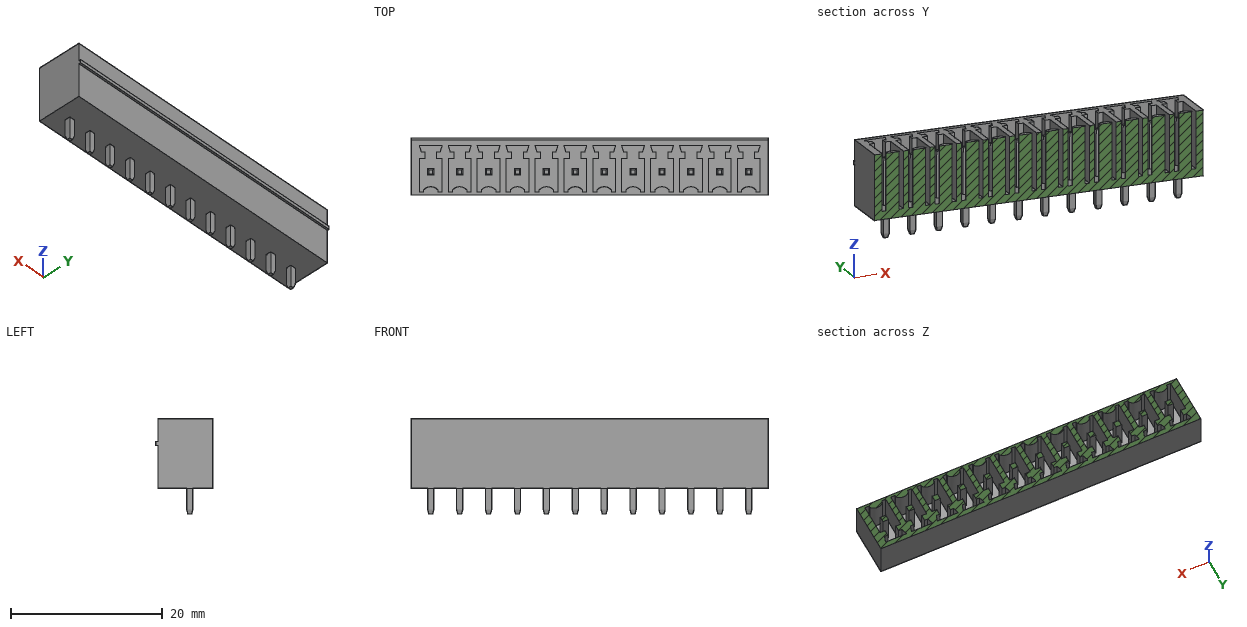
import cadquery as cq


POSITIONS = 12
PITCH = 3.81
END_MARGIN = 2.6

HOUSING_LENGTH = (POSITIONS - 1) * PITCH + 2 * END_MARGIN
HOUSING_DEPTH = 7.25
HOUSING_HEIGHT = 9.2
PIN_TO_FRONT = 3.05
HOUSING_FRONT = -PIN_TO_FRONT
HOUSING_BACK = HOUSING_FRONT + HOUSING_DEPTH

RAIL_DEPTH = 0.3
RAIL_HEIGHT = 0.55
RAIL_DROP = 3.0
RAIL_TOP = HOUSING_HEIGHT - RAIL_DROP

FLOOR_THICKNESS = 1.2
FRONT_WALL = 0.4
BACK_WALL = 0.75
PLUG_BAY_DEPTH = 4.4
NECK_LENGTH = 0.9
CAVITY_WIDTH = 3.0
CAVITY_FRONT = HOUSING_FRONT + FRONT_WALL
CAVITY_BACK = HOUSING_BACK - BACK_WALL
NECK_WIDTH = 1.55
NECK_FRONT = CAVITY_FRONT + PLUG_BAY_DEPTH
NECK_BACK = NECK_FRONT + NECK_LENGTH
KEY_FRONT_WIDTH = 2.5

RIB_WIDTH = 1.9
RIB_SIDE_HEIGHT = 0.25
RIB_HEIGHT = 0.7

PIN_SIZE = 0.85
PIN_TIP_SIZE = 0.5
PIN_TAPER_LENGTH = 0.6
PIN_PROTRUSION = 3.4
PIN_RECESS = 1.5
PIN_BOTTOM = -PIN_PROTRUSION
PIN_TOP = HOUSING_HEIGHT - PIN_RECESS


def block(x_start, x_end, y_start, y_end, z_start, z_end):
    size = (x_end - x_start, y_end - y_start, z_end - z_start)
    return cq.Workplane("XY").box(*size, centered=False).translate((x_start, y_start, z_start))


def make_housing():
    left = -END_MARGIN
    right = left + HOUSING_LENGTH
    body = block(left, right, HOUSING_FRONT, HOUSING_BACK, 0, HOUSING_HEIGHT)
    rail = block(left, right, HOUSING_BACK, HOUSING_BACK + RAIL_DEPTH, RAIL_TOP - RAIL_HEIGHT, RAIL_TOP)
    return body.union(rail)


def make_cavity():
    """Cavity volume around a pin axis at the origin."""
    half_cavity = CAVITY_WIDTH / 2
    half_neck = NECK_WIDTH / 2
    half_key = KEY_FRONT_WIDTH / 2
    half_rib = RIB_WIDTH / 2
    rib_shoulder = CAVITY_FRONT + RIB_SIDE_HEIGHT
    return (
        cq.Workplane("XY")
        .workplane(offset=FLOOR_THICKNESS)
        .moveTo(-half_rib, CAVITY_FRONT)
        .lineTo(-half_cavity, CAVITY_FRONT)
        .lineTo(-half_cavity, NECK_FRONT)
        .lineTo(-half_neck, NECK_FRONT)
        .lineTo(-half_neck, NECK_BACK)
        .lineTo(-half_key, NECK_BACK)
        .lineTo(-half_cavity, CAVITY_BACK)
        .lineTo(half_cavity, CAVITY_BACK)
        .lineTo(half_key, NECK_BACK)
        .lineTo(half_neck, NECK_BACK)
        .lineTo(half_neck, NECK_FRONT)
        .lineTo(half_cavity, NECK_FRONT)
        .lineTo(half_cavity, CAVITY_FRONT)
        .lineTo(half_rib, CAVITY_FRONT)
        .lineTo(half_rib, rib_shoulder)
        .threePointArc((0, CAVITY_FRONT + RIB_HEIGHT), (-half_rib, rib_shoulder))
        .close()
        .extrude(HOUSING_HEIGHT - FLOOR_THICKNESS)
    )


def make_pin():
    """Square pin on the origin axis, tapered at both ends."""
    shank_bottom = PIN_BOTTOM + PIN_TAPER_LENGTH
    shank_top = PIN_TOP - PIN_TAPER_LENGTH
    shank = cq.Workplane("XY").workplane(offset=shank_bottom).rect(PIN_SIZE, PIN_SIZE)
    shank = shank.extrude(shank_top - shank_bottom)
    tip = (
        cq.Workplane("XY")
        .rect(PIN_SIZE, PIN_SIZE)
        .workplane(offset=PIN_TAPER_LENGTH)
        .rect(PIN_TIP_SIZE, PIN_TIP_SIZE)
        .loft(ruled=True)
    )
    top_tip = tip.translate((0, 0, shank_top))
    bottom_tip = tip.mirror("XY").translate((0, 0, shank_bottom))
    return shank.union(top_tip).union(bottom_tip)


result = make_housing()
cavity = make_cavity()
pin = make_pin()
for position in range(POSITIONS):
    offset = (position * PITCH, 0, 0)
    result = result.cut(cavity.translate(offset)).union(pin.translate(offset))